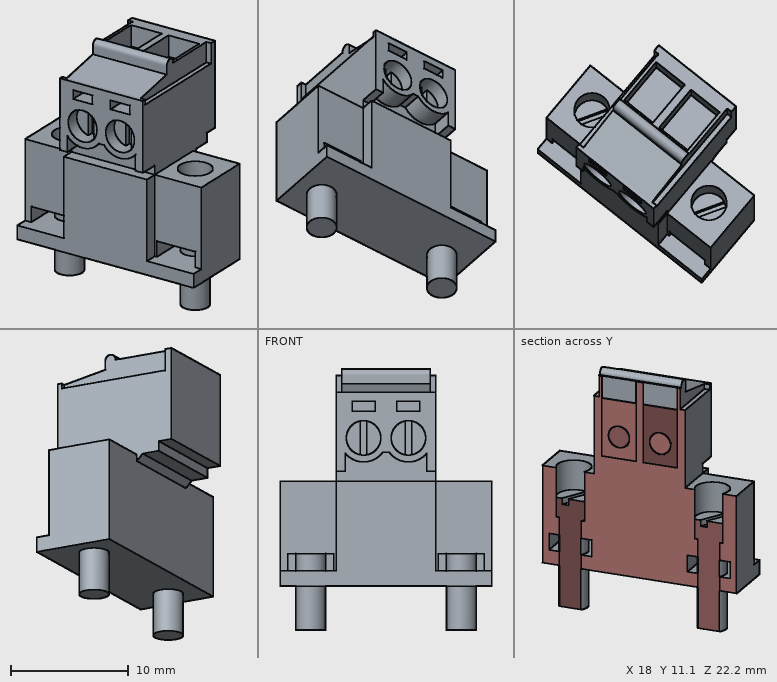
import cadquery as cq


overall_height = 22.2

base_width = 18.0
base_front = -4.15
base_plate_height = 1.3
base_height = 8.92
flange_half_depth = 2.95

housing_width = 8.48
housing_front = -4.77
housing_back = 6.33
housing_bottom = 9.8
housing_top = 17.94
front_lip_top = 16.5
front_lip_thickness = 0.38
neck_back = 5.08
neck_chamfer = 0.58

ridge_width = 1.0
ridge_center_y = 0.09
ridge_top = 18.47
slope_top = 17.2

side_recess_depth = 0.47
side_recess_back = 5.7
side_recess_bottom = 16.03

pole_pitch = 3.82
pole_positions = [-pole_pitch / 2, pole_pitch / 2]
test_slot_width = 1.95
test_slot_bottom = 14.9
test_slot_top = 15.75

clamp_width = 3.13
clamp_front = 0.75
clamp_back = 5.05
clamp_bottom = 10.65
clamp_top = 15.95

clamp_screw_z = 12.6
clamp_head_radius = 1.47
clamp_head_height = 1.55
clamp_head_depth = 1.3
clamp_shank_radius = 1.0
clamp_shank_end = 2.89
clamp_slot_width = 0.55

screw_boss_radius = 2.05
cutout_top = 11.39
leg_width = 0.75

flange_screw_x = 6.42
flange_screw_positions = [-flange_screw_x, flange_screw_x]
flange_head_radius = 1.5
flange_head_height = 1.78
flange_head_top = 6.22
flange_shank_radius = 1.276
flange_shank_end = ridge_top - overall_height
flange_slot_width = 0.49
flange_slot_angle = 60
screw_slot_depth = 0.55

flange_window_width = 3.9
flange_window_top = 2.78


def block(x_range, y_range, z_range):
    """Box given by its limits along each axis."""
    size = [high - low for low, high in (x_range, y_range, z_range)]
    corner = (x_range[0], y_range[0], z_range[0])
    return cq.Workplane("XY").box(*size, centered=False).translate(corner)


def centered_range(center, width):
    return (center - width / 2, center + width / 2)


def cylinder_z(radius, bottom, top):
    return cq.Workplane("XY").workplane(offset=bottom).circle(radius).extrude(top - bottom)


def cylinder_y(radius, x, z, front, back):
    """Cylinder along Y around the axis at (x, z)."""
    return cq.Workplane("XZ", origin=(x, back, z)).circle(radius).extrude(back - front)


def base_body():
    """Base plate, flange bars and the centre column that stands forward of them."""
    all_x = centered_range(0, base_width)
    column_x = centered_range(0, housing_width)
    plate = block(all_x, (base_front, flange_half_depth), (0, base_plate_height))
    flanges = block(all_x, (-flange_half_depth, flange_half_depth), (0, base_height))
    column = block(column_x, (base_front, flange_half_depth), (0, base_height))
    return plate.union(flanges).union(column)


def terminal_body():
    """Upper housing, extruded along X from its side profile."""
    ridge_radius = ridge_width / 2
    ridge_front = ridge_center_y - ridge_radius
    ridge_back = ridge_center_y + ridge_radius
    ridge_shoulder = ridge_top - ridge_radius
    lip_back = housing_front + front_lip_thickness
    chamfer_start = flange_half_depth + neck_chamfer
    return (
        cq.Workplane("YZ")
        .moveTo(housing_front, housing_bottom)
        .lineTo(housing_front, front_lip_top)
        .lineTo(lip_back, front_lip_top)
        .lineTo(ridge_front, slope_top)
        .lineTo(ridge_front, ridge_shoulder)
        .threePointArc((ridge_center_y, ridge_top), (ridge_back, ridge_shoulder))
        .lineTo(ridge_back, housing_top)
        .lineTo(housing_back, housing_top)
        .lineTo(housing_back, housing_bottom)
        .lineTo(neck_back, housing_bottom)
        .lineTo(neck_back, base_height)
        .lineTo(chamfer_start, base_height)
        .lineTo(flange_half_depth, base_height - neck_chamfer)
        .lineTo(-flange_half_depth, base_height - neck_chamfer)
        .lineTo(-flange_half_depth, housing_bottom)
        .close()
        .extrude(housing_width / 2, both=True)
    )


def side_recess(side):
    """Recess in the upper side wall; side is -1 or 1."""
    outer = side * housing_width / 2
    inner = outer - side * side_recess_depth
    x_range = (min(inner, outer), max(inner, outer))
    y_range = (housing_front + front_lip_thickness, side_recess_back)
    return block(x_range, y_range, (side_recess_bottom, ridge_top))


def front_cutout():
    """Space between the front legs, scalloped around the clamp screw bosses."""
    y_range = (housing_front, -flange_half_depth)
    x_range = centered_range(0, housing_width - 2 * leg_width)
    cutout = block(x_range, y_range, (housing_bottom, cutout_top))
    for x in pole_positions:
        cutout = cutout.cut(cylinder_y(screw_boss_radius, x, clamp_screw_z, *y_range))
    return cutout


def pole_openings(x):
    """Wire entry with its clamp seat, clamp screw hole and test slot of one pole."""
    wire_entry = block(
        centered_range(x, clamp_width), (clamp_front, clamp_back), (clamp_bottom, housing_top)
    )
    head_back = housing_front + clamp_head_depth + clamp_head_height
    head_hole = cylinder_y(clamp_head_radius, x, clamp_screw_z, housing_front, head_back)
    shank_hole = cylinder_y(clamp_shank_radius, x, clamp_screw_z, head_back, clamp_front)
    test_slot = block(
        centered_range(x, test_slot_width),
        (housing_front, clamp_front),
        (test_slot_bottom, test_slot_top),
    )
    return wire_entry.union(head_hole).union(shank_hole).union(test_slot)


def flange_openings(x):
    """Stepped screw hole and front window of one flange."""
    head_bottom = flange_head_top - flange_head_height
    head_hole = cylinder_z(flange_head_radius, head_bottom, base_height)
    shank_hole = cylinder_z(flange_shank_radius, 0, head_bottom)
    window = block(
        centered_range(0, flange_window_width),
        (-flange_half_depth, flange_window_width / 2),
        (base_plate_height, flange_window_top),
    )
    return head_hole.union(shank_hole).union(window).translate((x, 0, 0))


def make_housing():
    housing = base_body().union(terminal_body())
    for side in (-1, 1):
        housing = housing.cut(side_recess(side))
    housing = housing.cut(front_cutout())
    for x in pole_positions:
        housing = housing.cut(pole_openings(x))
    for x in flange_screw_positions:
        housing = housing.cut(flange_openings(x))
    return housing


def slotted_screw(head_radius, head_height, shank_radius, shank_length, slot_width):
    """Upright screw with its head top at Z = 0 and its slot along X."""
    head = cylinder_z(head_radius, -head_height, 0)
    shank = cylinder_z(shank_radius, -head_height - shank_length, -head_height)
    slot = block(
        centered_range(0, 2 * head_radius), centered_range(0, slot_width), (-screw_slot_depth, 0)
    )
    return head.union(shank).cut(slot)


def make_flange_screw(x):
    shank_length = flange_head_top - flange_head_height - flange_shank_end
    screw = slotted_screw(
        flange_head_radius, flange_head_height, flange_shank_radius, shank_length, flange_slot_width
    )
    return screw.rotate((0, 0, 0), (0, 0, 1), flange_slot_angle).translate((x, 0, flange_head_top))


def make_clamp_screw(x):
    head_front = housing_front + clamp_head_depth
    shank_length = clamp_shank_end - head_front - clamp_head_height
    screw = slotted_screw(
        clamp_head_radius, clamp_head_height, clamp_shank_radius, shank_length, clamp_slot_width
    )
    screw = screw.rotate((0, 0, 0), (0, 0, 1), 90).rotate((0, 0, 0), (1, 0, 0), 90)
    return screw.translate((x, head_front, clamp_screw_z))


def make_clamp(x):
    """Clamp block with a blind hole for the end of its screw."""
    body = block(centered_range(x, clamp_width), (clamp_front, clamp_back), (clamp_bottom, clamp_top))
    return body.cut(cylinder_y(clamp_shank_radius, x, clamp_screw_z, clamp_front, clamp_shank_end))


housing = make_housing()
flange_screws = [make_flange_screw(x) for x in flange_screw_positions]
clamp_screws = [make_clamp_screw(x) for x in pole_positions]
clamps = [make_clamp(x) for x in pole_positions]

bodies = [housing, *flange_screws, *clamp_screws, *clamps]
result = cq.Compound.makeCompound([body.val() for body in bodies])